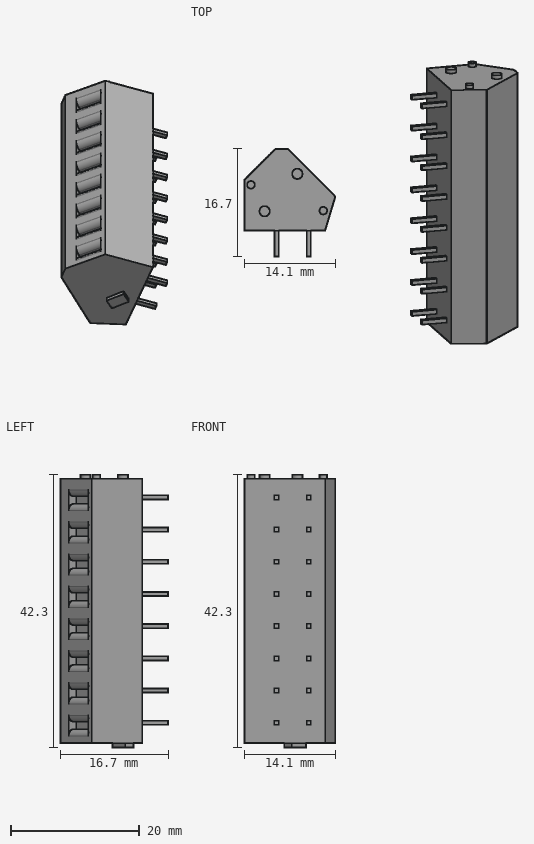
import cadquery as cq
import math


block_height = 41.05
block_depth = 12.7
pin_face_width = 12.5
widest_x = 14.1
entry_slope_size = 4.82
back_face_right_x = 6.73
nose_lower_y = 5.2
nose_upper = (13.95, 5.45)

pole_count = 8
pole_pitch = 5.0
first_pin_z = 3.17
first_entry_z = 2.75

pin_thickness = 0.68
pin_length = 4.0
pin_columns_x = (pole_pitch, 2 * pole_pitch)

entry_length = 4.25
entry_slot_width = 1.2
entry_round_radius = 1.0
entry_depth = 1.6
entry_lower_y = 8.4

peg_height = 0.6
pegs = [
    (3.15, 3.0, 1.6),
    (8.2, 8.8, 1.6),
    (1.0, 7.1, 1.2),
    (12.22, 3.1, 1.2),
]

key_height = 0.68
key_length = 2.95
key_width = 1.78
key_center = (7.85, 3.0)
key_angle = 42.5


def make_block():
    outline = [
        (0, 0),
        (pin_face_width, 0),
        (widest_x, nose_lower_y),
        nose_upper,
        (back_face_right_x, block_depth),
        (entry_slope_size, block_depth),
        (0, block_depth - entry_slope_size),
    ]
    return cq.Workplane("XY").polyline(outline).close().extrude(block_height)


def make_pins():
    pins = cq.Workplane("XY")
    for x in pin_columns_x:
        for pole in range(pole_count):
            z = first_pin_z + pole * pole_pitch
            pin = cq.Workplane("XY").box(
                pin_thickness, pin_length, pin_thickness
            ).translate((x, -pin_length / 2, z))
            pins = pins.add(pin)
    return pins.combine()


def make_entry_cutter(center_z):
    """Slot with rounded-over long sides, sunk at right angles into the bevel."""
    bevel_start_y = block_depth - entry_slope_size
    along_bevel = cq.Vector(1, 1, 0)
    start = cq.Vector(entry_lower_y - bevel_start_y, entry_lower_y, center_z)
    plane = cq.Plane(origin=start, xDir=(1, -1, 0), normal=along_bevel)
    half_slot = entry_slot_width / 2
    half_mouth = half_slot + entry_round_radius
    arc_inset = entry_round_radius * (1 - math.sqrt(0.5))
    return (
        cq.Workplane(plane)
        .moveTo(0, -half_mouth)
        .threePointArc((arc_inset, -half_slot - arc_inset), (entry_round_radius, -half_slot))
        .lineTo(entry_depth, -half_slot)
        .lineTo(entry_depth, half_slot)
        .lineTo(entry_round_radius, half_slot)
        .threePointArc((arc_inset, half_slot + arc_inset), (0, half_mouth))
        .close()
        .extrude(entry_length)
    )


def make_peg(x, y, diameter):
    return (
        cq.Workplane("XY", origin=(x, y, block_height))
        .circle(diameter / 2)
        .extrude(peg_height)
    )


def make_key():
    return (
        cq.Workplane("XY")
        .rect(key_length, key_width)
        .extrude(-key_height)
        .rotate((0, 0, 0), (0, 0, 1), key_angle)
        .translate((*key_center, 0))
    )


result = make_block().union(make_pins()).union(make_key())
for peg_x, peg_y, peg_diameter in pegs:
    result = result.union(make_peg(peg_x, peg_y, peg_diameter))
for pole_index in range(pole_count):
    result = result.cut(make_entry_cutter(first_entry_z + pole_index * pole_pitch))